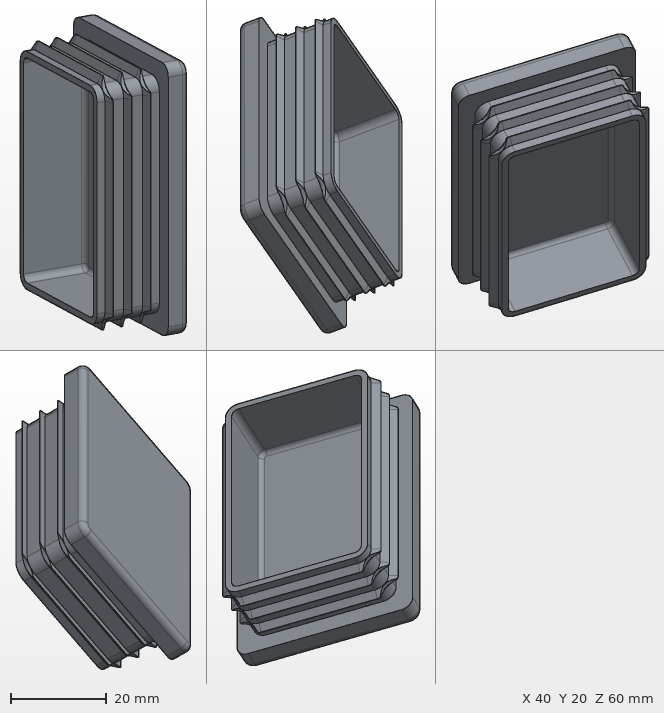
import cadquery as cq
import math

flange_width = 40.0
flange_height = 60.0
flange_thickness = 5.0
flange_corner_radius = 2.5
flange_edge_radius = 1.5

total_depth = 20.0
plug_inset = 3.8
plug_corner_radius = 3.0
wall = 1.45
floor_radius = 1.0

rib_count = 3
first_rib_gap = 3.0
rib_pitch = 4.55
rib_reach = 1.8
rib_base = 1.0
rib_tip = 0.1
corner_relief_radius = 5.1
corner_relief_gap = 0.05
rib_end_radius = 0.7

plug_width = flange_width - 2 * plug_inset
plug_height = flange_height - 2 * plug_inset
flange_y = -flange_thickness


def rounded_bar(width, height, radius, y_back, length):
    """Bar with rounded long edges, reaching from y_back towards -Y."""
    bar = cq.Workplane("XZ", origin=(0, y_back, 0)).rect(width, height).extrude(length)
    return bar.edges("|Y").fillet(radius)


def make_flange():
    flange = rounded_bar(flange_width, flange_height, flange_corner_radius, 0, flange_thickness)
    return flange.faces(">Y").edges().fillet(flange_edge_radius)


def make_plug():
    return rounded_bar(plug_width, plug_height, plug_corner_radius, flange_y, total_depth - flange_thickness)


def make_cavity():
    cavity = rounded_bar(
        plug_width - 2 * wall,
        plug_height - 2 * wall,
        plug_corner_radius - wall,
        flange_y,
        total_depth - flange_thickness,
    )
    return cavity.faces(">Y").edges().fillet(floor_radius)


def make_rib(y_flat):
    """Flat-backed barb: a thin rim, then a slope down to the plug wall."""
    width = plug_width + 2 * rib_reach
    height = plug_height + 2 * rib_reach
    radius = plug_corner_radius + rib_reach
    slope_length = rib_base - rib_tip
    slope_angle = math.degrees(math.atan2(rib_reach, slope_length))
    rim = rounded_bar(width, height, radius, y_flat, rib_tip)
    rim_outline = rim.faces("<Y").wires().toPending().workplane()
    slope = rim_outline.extrude(slope_length, taper=slope_angle, combine=False)
    return rim.union(slope)


def make_rib_envelope():
    """Bar as wide as the ribs whose corners are scooped almost to the plug, with softened ends."""
    centre_distance = plug_corner_radius + corner_relief_gap + corner_relief_radius
    centre_offset = centre_distance * math.sqrt(0.5) - plug_corner_radius
    length = total_depth - flange_thickness
    base = cq.Workplane("XZ", origin=(0, flange_y, 0))
    reliefs = (
        base.rect(plug_width + 2 * centre_offset, plug_height + 2 * centre_offset, forConstruction=True)
        .vertices()
        .circle(corner_relief_radius)
        .extrude(length)
    )
    bar = base.rect(plug_width + 2 * rib_reach, plug_height + 2 * rib_reach).extrude(length)
    return bar.cut(reliefs).edges("|Y").fillet(rib_end_radius)


body = make_flange().union(make_plug())
rib_envelope = make_rib_envelope()
for index in range(rib_count):
    rib = make_rib(flange_y - first_rib_gap - index * rib_pitch)
    body = body.union(rib.intersect(rib_envelope))

result = body.cut(make_cavity())